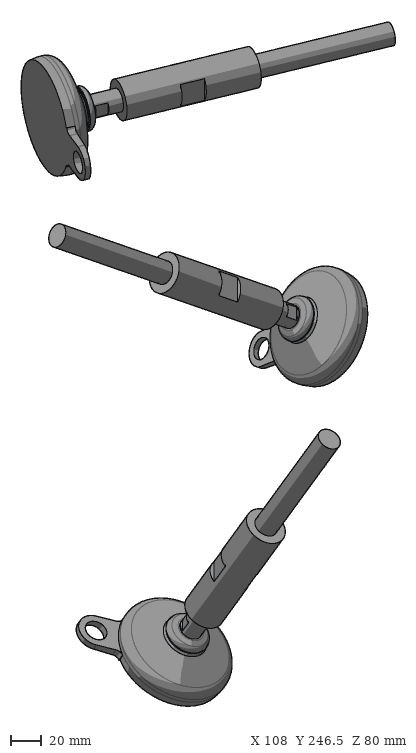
import cadquery as cq
import math


pad_diameter = 80.0
underside_diameter = 78.5
rim_bottom = 6.0
rim_top = 8.9
shoulder_radius = 7.5
cone_angle = math.radians(21)
cone_top_radius = 15.8

groove_radius = 14.5
groove_bottom = 25.0
groove_top = 25.6
collar_radius = 15.3
collar_widest = 26.1
collar_crown_radius = 13.0
collar_crown_height = 30.8
collar_top_radius = 9.0
collar_top = 32.0
collar_bulge = 0.86

overall_width = 108.0
tab_half_width = 12.3
tab_end_thickness = 4.0
tab_fillet = 5.0
tab_hole_diameter = 15.0

spindle_end = 246.5
spindle_diameter = 16.0
spindle_flats_start = 33.3
spindle_flats_length = 9.0
spindle_across_flats = 13.0
sleeve_diameter = 28.0
sleeve_start = 52.8
sleeve_length = 95.6
sleeve_flats_length = 17.3
sleeve_across_flats = 22.2

pad_radius = pad_diameter / 2
tab_reach = overall_width - pad_radius


def cylinder_along_y(diameter, start, end):
    """Solid cylinder on the Y axis from start to end."""
    plane = cq.Workplane("XZ", origin=(0, start, 0))
    return plane.circle(diameter / 2).extrude(start - end)


def pad_body():
    """Turned pad: tapered skirt, rounded shoulder, cone, groove and domed collar."""
    arc_centre = pad_radius - shoulder_radius

    def shoulder_point(angle):
        return (
            arc_centre + shoulder_radius * math.cos(angle),
            rim_top + shoulder_radius * math.sin(angle),
        )

    arc_end_angle = math.pi / 2 - cone_angle
    cone_bottom_radius, cone_bottom = shoulder_point(arc_end_angle)
    cone_top = cone_bottom + (cone_bottom_radius - cone_top_radius) * math.tan(cone_angle)

    drop = collar_radius - collar_crown_radius
    rise = collar_crown_height - collar_widest
    chord = math.hypot(drop, rise)
    dome_middle = (
        (collar_radius + collar_crown_radius) / 2 + collar_bulge * rise / chord,
        (collar_widest + collar_crown_height) / 2 + collar_bulge * drop / chord,
    )

    profile = (
        cq.Workplane("XY")
        .lineTo(underside_diameter / 2, 0)
        .lineTo(pad_radius, rim_bottom)
        .lineTo(pad_radius, rim_top)
        .threePointArc(shoulder_point(arc_end_angle / 2), (cone_bottom_radius, cone_bottom))
        .lineTo(cone_top_radius, cone_top)
        .lineTo(groove_radius, groove_bottom)
        .lineTo(groove_radius, groove_top)
        .lineTo(collar_radius, collar_widest)
        .threePointArc(dome_middle, (collar_crown_radius, collar_crown_height))
        .lineTo(collar_top_radius, collar_top)
        .lineTo(0, collar_top)
        .close()
    )
    return profile.revolve(360, (0, 0, 0), (0, 1, 0))


def tab():
    """Round-ended tab that blends into the rim and thins toward its tip."""
    hole_x = tab_reach - tab_half_width

    fillet_z = tab_half_width + tab_fillet
    fillet_x = math.sqrt((pad_radius + tab_fillet) ** 2 - fillet_z ** 2)
    rim_share = pad_radius / (pad_radius + tab_fillet)
    root_x = fillet_x * rim_share
    root_z = fillet_z * rim_share
    rim_direction = math.atan2(-fillet_z, -fillet_x)
    middle_angle = (rim_direction - math.pi / 2) / 2
    middle_x = fillet_x + tab_fillet * math.cos(middle_angle)
    middle_z = fillet_z + tab_fillet * math.sin(middle_angle)

    blank = (
        cq.Workplane("XZ")
        .lineTo(root_x, root_z)
        .threePointArc((middle_x, middle_z), (fillet_x, tab_half_width))
        .lineTo(hole_x, tab_half_width)
        .threePointArc((tab_reach, 0), (hole_x, -tab_half_width))
        .lineTo(fillet_x, -tab_half_width)
        .threePointArc((middle_x, -middle_z), (root_x, -root_z))
        .close()
        .extrude(-rim_bottom)
    )
    wedge = (
        cq.Workplane("XY")
        .lineTo(tab_reach, 0)
        .lineTo(tab_reach, tab_end_thickness)
        .lineTo(root_x, rim_bottom)
        .lineTo(0, rim_bottom)
        .close()
        .extrude(pad_radius, both=True)
    )
    hole = cylinder_along_y(tab_hole_diameter, 0, rim_bottom).translate((hole_x, 0, 0))
    return blank.intersect(wedge).cut(hole)


def cut_wrench_flats(body, diameter, across_flats, start, length):
    """Cut a pair of parallel flats facing -X and +X."""
    depth = (diameter - across_flats) / 2
    for side in (-1, 1):
        cutter = cq.Workplane("XY").box(depth, length, diameter)
        offset = side * (across_flats + depth) / 2
        body = body.cut(cutter.translate((offset, start + length / 2, 0)))
    return body


def make_foot():
    return pad_body().union(tab())


def make_spindle():
    """Rod standing on the collar, with a thick sleeve and two pairs of flats."""
    rod = cylinder_along_y(spindle_diameter, collar_top, spindle_end)
    sleeve = cylinder_along_y(sleeve_diameter, sleeve_start, sleeve_start + sleeve_length)
    sleeve_flats_start = sleeve_start + (sleeve_length - sleeve_flats_length) / 2
    body = rod.union(sleeve)
    body = cut_wrench_flats(
        body, sleeve_diameter, sleeve_across_flats, sleeve_flats_start, sleeve_flats_length
    )
    return cut_wrench_flats(
        body, spindle_diameter, spindle_across_flats, spindle_flats_start, spindle_flats_length
    )


foot = make_foot()
spindle = make_spindle()
result = cq.Compound.makeCompound([foot.solids().val(), spindle.solids().val()])